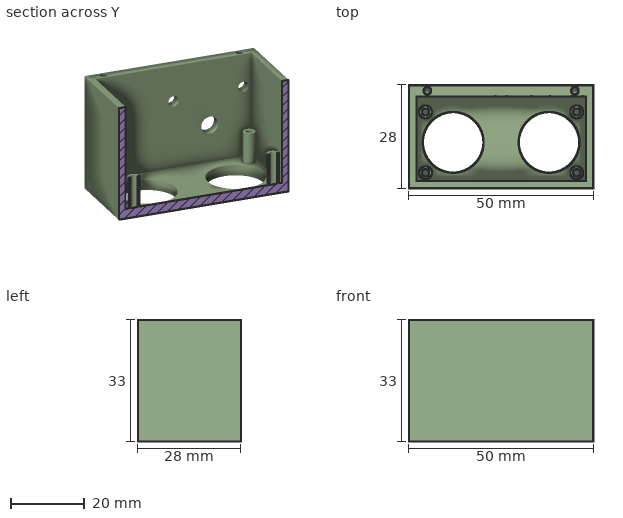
import cadquery as cq

LENGTH = 50.0
WIDTH = 28.0
HEIGHT = 33.0
THIN_WALL = 2.0
BACK_WALL = 3.0
FLOOR = 3.0

top_z = HEIGHT / 2
bottom_z = -HEIGHT / 2
floor_z = bottom_z + FLOOR
back_y = WIDTH / 2
cavity_length = LENGTH - 2 * THIN_WALL
cavity_width = WIDTH - THIN_WALL - BACK_WALL
cavity_centre_y = (THIN_WALL - BACK_WALL) / 2

WINDOW_DIAMETER = 16.4
WINDOW_SPACING = 26.0
WINDOW_Y = -1.5

STANDOFF_SPACING_X = 41.0
STANDOFF_SPACING_Y = 16.5
STANDOFF_DIAMETER = 3.5
STANDOFF_HEIGHT = 9.0

SCREW_DIAMETER = 2.0
RIM_HOLE_SPACING = 40.0
RIM_HOLE_DEPTH = 5.0

MIDDLE_SCREW_HOLE = (3.0, 0.0, 10.45)
END_SCREW_HOLE = (3.0, 20.6, 9.6)
CABLE_HOLE = (5.0, 10.7, 19.25)


def make_box():
    block = cq.Workplane("XY").box(LENGTH, WIDTH, HEIGHT)
    cavity = (
        cq.Workplane("XY", origin=(0, cavity_centre_y, floor_z))
        .rect(cavity_length, cavity_width)
        .extrude(HEIGHT - FLOOR)
    )
    return block.cut(cavity)


def cut_windows(body):
    windows = (
        cq.Workplane("XY", origin=(0, WINDOW_Y, bottom_z))
        .rarray(WINDOW_SPACING, 1, 2, 1)
        .circle(WINDOW_DIAMETER / 2)
        .extrude(FLOOR)
    )
    return body.cut(windows)


def add_standoffs(body):
    tubes = (
        cq.Workplane("XY", origin=(0, WINDOW_Y, floor_z))
        .rarray(STANDOFF_SPACING_X, STANDOFF_SPACING_Y, 2, 2)
        .circle(STANDOFF_DIAMETER / 2)
        .circle(SCREW_DIAMETER / 2)
        .extrude(STANDOFF_HEIGHT)
    )
    return body.union(tubes)


def cut_rim_holes(body):
    holes = (
        cq.Workplane("XY", origin=(0, back_y - BACK_WALL / 2, top_z))
        .rarray(RIM_HOLE_SPACING, 1, 2, 1)
        .circle(SCREW_DIAMETER / 2)
        .extrude(-RIM_HOLE_DEPTH)
    )
    return body.cut(holes)


def cut_back_hole(body, diameter, x, drop):
    hole = (
        cq.Workplane("XZ", origin=(x, back_y, top_z - drop))
        .circle(diameter / 2)
        .extrude(BACK_WALL)
    )
    return body.cut(hole)


result = make_box()
result = cut_windows(result)
result = add_standoffs(result)
result = cut_rim_holes(result)
for back_hole in (MIDDLE_SCREW_HOLE, END_SCREW_HOLE, CABLE_HOLE):
    result = cut_back_hole(result, *back_hole)